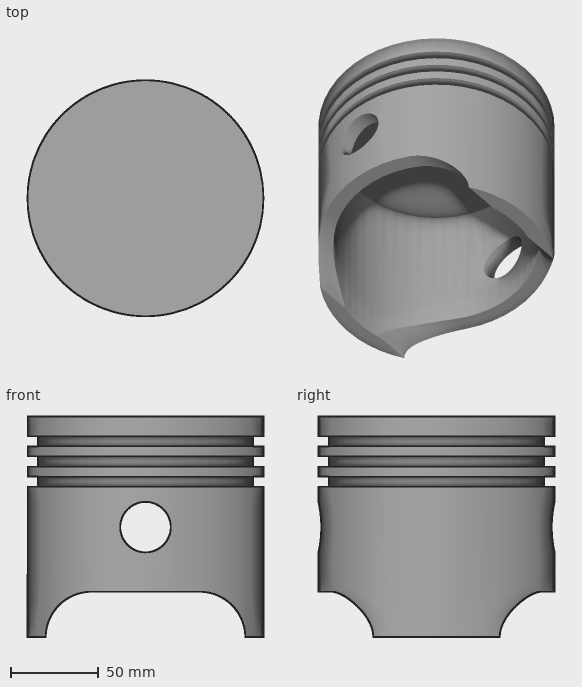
import cadquery as cq

diameter = 134.8
height = 126.0
radius = diameter / 2
cut_margin = 1.3

groove_count = 3
crown_land = 11.5
groove_width = crown_land / 2
groove_depth = 5.8

wall = 8.6
crown_thickness = crown_land

pin_diameter = 28.7
pin_height = 62.8

cutout_half_width = 56.9
cutout_height = 25.9
cutout_corner = 25.9


def ring_groove(bottom):
    outer = cq.Workplane("XY").workplane(offset=bottom).circle(radius + cut_margin)
    return outer.circle(radius - groove_depth).extrude(groove_width)


def skirt_cutout():
    flat_half_width = cutout_half_width - cutout_corner
    return (
        cq.Workplane("XZ")
        .moveTo(-cutout_half_width, 0)
        .radiusArc((-flat_half_width, cutout_height), cutout_corner)
        .lineTo(flat_half_width, cutout_height)
        .radiusArc((cutout_half_width, 0), cutout_corner)
        .close()
        .extrude(radius + cut_margin, both=True)
    )


body = cq.Workplane("XY").circle(radius).extrude(height)
body = body.cut(cq.Workplane("XY").circle(radius - wall).extrude(height - crown_thickness))

for index in range(groove_count):
    groove_top = height - crown_land - 2 * index * groove_width
    body = body.cut(ring_groove(groove_top - groove_width))

pin_hole = (
    cq.Workplane("XZ")
    .center(0, pin_height)
    .circle(pin_diameter / 2)
    .extrude(radius + cut_margin, both=True)
)

result = body.cut(pin_hole).cut(skirt_cutout())